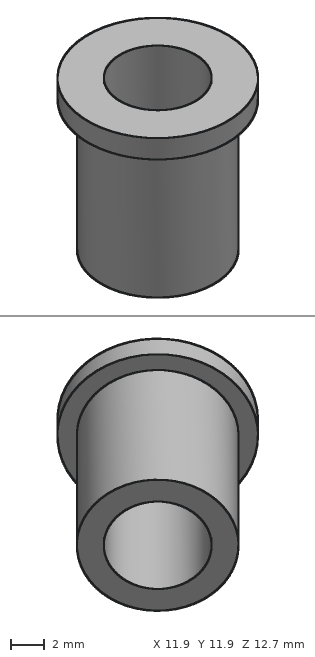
import cadquery as cq

total_height = 12.7
flange_diameter = 11.91
flange_thickness = 1.59
body_diameter = 9.6
bore_diameter = 6.4

body = cq.Workplane("XY").circle(body_diameter / 2).extrude(total_height)

flange = (
    cq.Workplane("XY")
    .workplane(offset=total_height - flange_thickness)
    .circle(flange_diameter / 2)
    .extrude(flange_thickness)
)

bore = cq.Workplane("XY").circle(bore_diameter / 2).extrude(total_height)

result = body.union(flange).cut(bore)